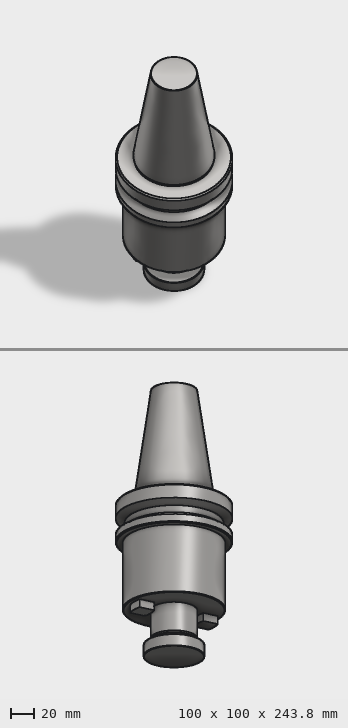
import cadquery as cq

total_height = 243.8
head_top = 11.0
spigot_bottom = 15.4
tenon_bottom = 35.0
body_bottom = 42.5
flange_bottom = 104.0
lower_rim_top = 111.5
groove_bottom = 116.0
groove_top = 122.5
upper_rim_bottom = 126.5
flange_top = 139.7
gauge_line = 142.1
relief_drop = 1.5

taper_small_radius = 20.0
taper_large_radius = 34.9
relief_radius = 34.4
flange_radius = 50.0
groove_radius = 42.5
body_radius = 44.0
spigot_radius = 20.0
neck_radius = 10.0
head_radius = 26.0

flange_top_chamfer = 1.5
flange_bottom_chamfer = 1.0
body_chamfer = 0.7
spigot_chamfer = 1.2
head_chamfer = 0.5
taper_tip_chamfer = 0.5
neck_fillet = 0.7

tenon_width = 15.5
tenon_inner = 23.5
tenon_outer = 40.0
tenon_end_bulge = 1.0


def turned_body():
    """Revolve the half profile (radius, height) of the arbor and its screw about Z."""
    profile = (
        cq.Workplane("XZ")
        .moveTo(0, 0)
        .lineTo(head_radius - head_chamfer, 0)
        .lineTo(head_radius, head_chamfer)
        .lineTo(head_radius, head_top - head_chamfer)
        .lineTo(head_radius - head_chamfer, head_top)
        .lineTo(neck_radius + neck_fillet, head_top)
        .radiusArc((neck_radius, head_top + neck_fillet), neck_fillet)
        .lineTo(neck_radius, spigot_bottom)
        .lineTo(spigot_radius - spigot_chamfer, spigot_bottom)
        .lineTo(spigot_radius, spigot_bottom + spigot_chamfer)
        .lineTo(spigot_radius, body_bottom)
        .lineTo(body_radius - body_chamfer, body_bottom)
        .lineTo(body_radius, body_bottom + body_chamfer)
        .lineTo(body_radius, flange_bottom)
        .lineTo(flange_radius - flange_bottom_chamfer, flange_bottom)
        .lineTo(flange_radius, flange_bottom + flange_bottom_chamfer)
        .lineTo(flange_radius, lower_rim_top)
        .lineTo(groove_radius, groove_bottom)
        .lineTo(groove_radius, groove_top)
        .lineTo(flange_radius, upper_rim_bottom)
        .lineTo(flange_radius, flange_top - flange_top_chamfer)
        .lineTo(flange_radius - flange_top_chamfer, flange_top)
        .lineTo(relief_radius, flange_top)
        .lineTo(relief_radius, gauge_line - relief_drop)
        .lineTo(taper_large_radius, gauge_line)
        .lineTo(taper_small_radius, total_height - taper_tip_chamfer)
        .lineTo(taper_small_radius - taper_tip_chamfer, total_height)
        .lineTo(0, total_height)
        .close()
    )
    return profile.revolve(360, (0, 0, 0), (0, 1, 0))


def drive_tenon(side):
    """One round-ended drive tenon below the body, on the +Y (side=1) or -Y (side=-1) side."""
    half_width = tenon_width / 2
    inner_corner = side * (tenon_inner + tenon_end_bulge)
    outer_corner = side * (tenon_outer - tenon_end_bulge)
    return (
        cq.Workplane("XY", origin=(0, 0, tenon_bottom))
        .moveTo(-half_width, inner_corner)
        .lineTo(-half_width, outer_corner)
        .threePointArc((0, side * tenon_outer), (half_width, outer_corner))
        .lineTo(half_width, inner_corner)
        .threePointArc((0, side * tenon_inner), (-half_width, inner_corner))
        .close()
        .extrude(body_bottom + body_chamfer - tenon_bottom)
    )


result = turned_body()
for side in (-1, 1):
    result = result.union(drive_tenon(side))